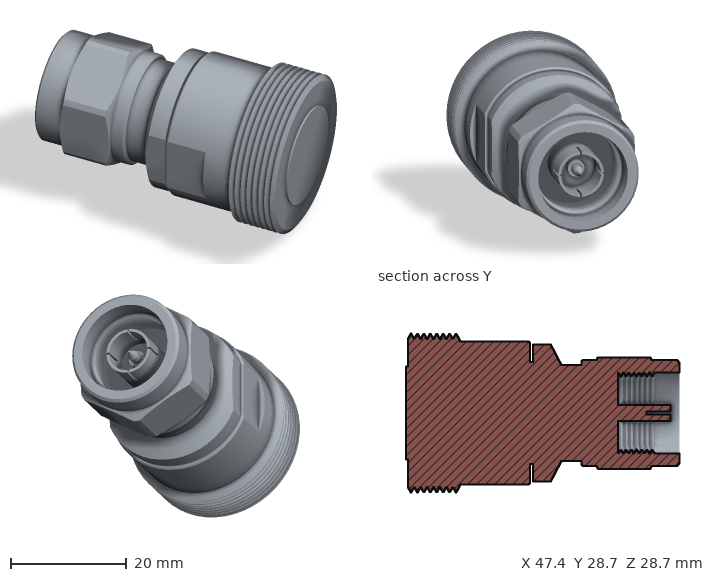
import cadquery as cq
import math


total_length = 47.35

nut_radius = 9.95
nut_front_bevel_length = 0.43
nut_front_bevel_depth = 0.45
nut_rear_bevel = 0.35
nut_end_x = 17.05
hex_start_x = 4.85
hex_end_x = 14.4
hex_bevel_length = 0.8
hex_across_flats = 20.55
hex_corner_radius = 11.55

neck_radius = 9.2
flange_cone_start_x = 20.45
flange_cone_end_x = 22.3
flange_end_x = 25.4
flange_radius = 12.5
flange_flat_distance = 11.45

groove_radius = 9.65
body_start_x = 25.85
body_radius = 12.97
body_bevel = 0.3
body_flat_distance = 11.9
body_flat_end_x = 33.25

flank_slope = math.tan(math.radians(60))
face_ring_radius = 8.9
face_ring_length = 0.35
outer_crest_radius = 14.35
outer_pitch = 1.115
outer_ridge_count = 8

bore_radius = 7.9
bore_length = 4.3
inner_crest_radius = 7.3
inner_pitch = 0.9
inner_ridge_count = 7

contact_front_x = 1.55
sleeve_outer_radius = 4.02
sleeve_inner_radius = 3.528
sleeve_bore_end_x = 7.58
slot_width = 0.4
slot_end_x = 5.7
pin_tip_length = 2.2
pin_radius = 0.875
pin_shoulder_x = 5.7
pin_shoulder_radius = 1.445

outer_thread_end_x = total_length - face_ring_length
outer_root_radius = outer_crest_radius - outer_pitch / 2 * flank_slope
first_ridge_x = outer_thread_end_x - outer_ridge_count * outer_pitch
first_crest_x = first_ridge_x + outer_pitch / 2
outer_thread_start_x = first_crest_x - (outer_crest_radius - body_radius) / flank_slope
bore_floor_x = bore_length + inner_ridge_count * inner_pitch


def revolve_about_x(points):
    """Close a half profile of (x, radius) points and turn it about the X axis."""
    return cq.Workplane("XY").polyline(points).close().revolve(360, (0, 0, 0), (1, 0, 0))


def cylinder(start_x, end_x, radius):
    return cq.Workplane("YZ").workplane(offset=start_x).circle(radius).extrude(end_x - start_x)


def ridge_points(start_x, pitch, count, crest_radius, root_radius):
    """Crest and following root of each V ridge in a row."""
    points = []
    for index in range(count):
        ridge_x = start_x + index * pitch
        points.append((ridge_x + pitch / 2, crest_radius))
        points.append((ridge_x + pitch, root_radius))
    return points


def cut_wrench_flats(solid, start_x, end_x, distance, radius):
    """Remove everything beyond the two planes y = +/-distance."""
    depth = radius - distance
    for side in (-1, 1):
        block = cq.Workplane("XY").box(end_x - start_x, depth, 2 * radius)
        block = block.translate(((start_x + end_x) / 2, side * (distance + depth / 2), 0))
        solid = solid.cut(block)
    return solid


def make_nut():
    sleeve = revolve_about_x([
        (0, 0),
        (0, nut_radius - nut_front_bevel_depth),
        (nut_front_bevel_length, nut_radius),
        (nut_end_x - nut_rear_bevel, nut_radius),
        (nut_end_x, nut_radius - nut_rear_bevel),
        (nut_end_x, 0),
    ])
    hex_prism = (
        cq.Workplane("YZ").workplane(offset=hex_start_x)
        .polygon(6, hex_across_flats, circumscribed=True)
        .extrude(hex_end_x - hex_start_x)
    )
    beveled_envelope = revolve_about_x([
        (hex_start_x, 0),
        (hex_start_x, nut_radius),
        (hex_start_x + hex_bevel_length, hex_corner_radius),
        (hex_end_x - hex_bevel_length, hex_corner_radius),
        (hex_end_x, nut_radius),
        (hex_end_x, 0),
    ])
    return sleeve.union(hex_prism.intersect(beveled_envelope))


def make_neck_and_flange():
    turned = revolve_about_x([
        (nut_end_x, 0),
        (nut_end_x, neck_radius),
        (flange_cone_start_x, neck_radius),
        (flange_cone_end_x, flange_radius),
        (flange_end_x, flange_radius),
        (flange_end_x, groove_radius),
        (body_start_x, groove_radius),
        (body_start_x, 0),
    ])
    return cut_wrench_flats(turned, flange_cone_start_x, flange_end_x, flange_flat_distance, flange_radius)


def make_socket_body():
    turned = revolve_about_x(
        [
            (body_start_x, 0),
            (body_start_x, body_radius - body_bevel),
            (body_start_x + body_bevel, body_radius),
            (outer_thread_start_x, body_radius),
        ]
        + ridge_points(first_ridge_x, outer_pitch, outer_ridge_count, outer_crest_radius, outer_root_radius)
        + [
            (outer_thread_end_x, face_ring_radius),
            (total_length, face_ring_radius),
            (total_length, 0),
        ]
    )
    return cut_wrench_flats(turned, body_start_x, body_flat_end_x, body_flat_distance, body_radius)


def make_nut_cavity():
    return revolve_about_x(
        [(0, 0), (0, bore_radius), (bore_length, bore_radius)]
        + ridge_points(bore_length, inner_pitch, inner_ridge_count, inner_crest_radius, bore_radius)
        + [(bore_floor_x, 0)]
    )


def make_contact_sleeve():
    sleeve = cylinder(contact_front_x, bore_floor_x, sleeve_outer_radius)
    sleeve = sleeve.cut(cylinder(contact_front_x, sleeve_bore_end_x, sleeve_inner_radius))
    slot_length = slot_end_x - contact_front_x
    slot_span = 2 * sleeve_outer_radius
    slot = cq.Workplane("XY").box(slot_length, slot_width, slot_span)
    slot = slot.translate((contact_front_x + slot_length / 2, 0, 0))
    for angle in (0, 90):
        sleeve = sleeve.cut(slot.rotate((0, 0, 0), (1, 0, 0), angle))
    return sleeve


def make_center_pin():
    return revolve_about_x([
        (contact_front_x, 0),
        (contact_front_x + pin_tip_length, pin_radius),
        (pin_shoulder_x, pin_radius),
        (pin_shoulder_x, pin_shoulder_radius),
        (bore_floor_x, pin_shoulder_radius),
        (bore_floor_x, 0),
    ])


result = (
    make_nut()
    .union(make_neck_and_flange())
    .union(make_socket_body())
    .cut(make_nut_cavity())
    .union(make_contact_sleeve())
    .union(make_center_pin())
)